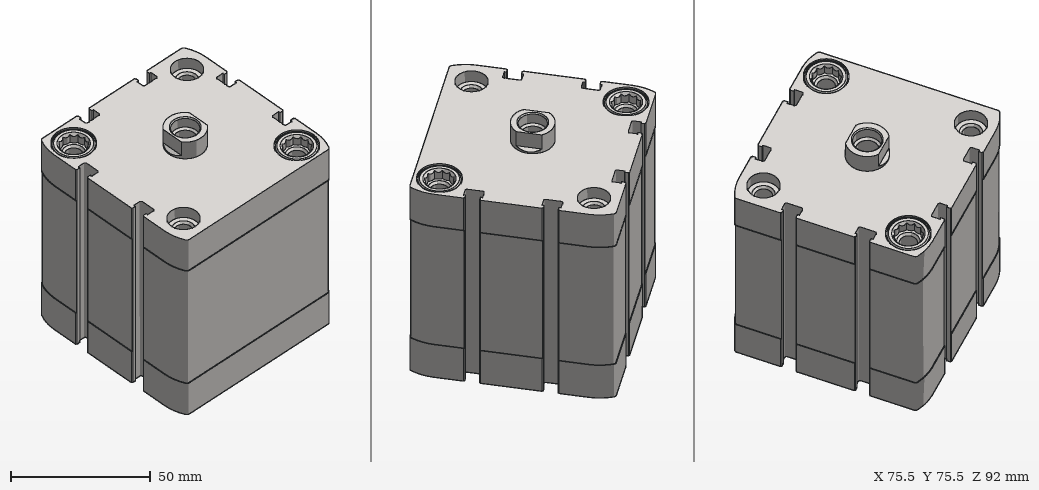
import cadquery as cq
import math

housing_width = 75.5
housing_height = 84.0
cap_height = 15.0
barrel_inset = 0.3
corner_arc_radius = 20.0
corner_blend_radius = 1.4

hole_offset = 28.2

slot_offset = 14.35
slot_mouth_width = 5.4
slot_inner_width = 7.0
slot_lip_depth = 1.75
slot_depth = 5.2
slot_mouth_radius = 0.4
slot_floor_radius = 0.7

through_hole_diameter = 6.6
hole_chamfer_diameter = 8.4
counterbore_diameter = 12.0
counterbore_depth = 4.9

groove_outer_diameter = 16.4
groove_floor_diameter = 15.5
groove_inner_diameter = 14.35
groove_depth = 0.7
plug_recess = 0.3
socket_points = 12
socket_point_radius = 5.5
socket_crest_radius = 5.1
socket_lead_in_diameter = 12.0
socket_lead_in_depth = 1.2
socket_crest_width = 0.8
socket_depth = 4.6

rod_diameter = 16.0
rod_length = 31.0
rod_top = 92.0
flat_width = 13.0
flat_length = 6.4
flat_slope_drop = 0.9
thread_chamfer_diameter = 11.4
thread_chamfer_depth = 0.5
thread_diameter = 10.5
thread_relief_depth = 4.6
thread_step_height = 0.55
thread_core_diameter = 8.4
thread_core_depth = 20.2
drill_point_angle = 118.0


def cone_between(large_diameter, small_diameter, top_z, height):
    """Cone narrowing downwards from top_z, on the Z axis."""
    return cq.Workplane(
        cq.Solid.makeCone(
            small_diameter / 2, large_diameter / 2, height, pnt=cq.Vector(0, 0, top_z - height)
        )
    )


def cylinder_below(diameter, top_z, depth):
    """Cylinder hanging down from top_z, on the Z axis."""
    return cq.Workplane("XY").workplane(offset=top_z - depth).circle(diameter / 2).extrude(depth)


def housing_section(base_z, height, inset):
    """Square prism, inset all round, whose corners are eased by shallow arcs towards the Y sides."""
    half = housing_width / 2 - inset
    arc_radius = corner_arc_radius - inset
    run = half - hole_offset
    arc_center_y = half - arc_radius
    arc_mid_x = hole_offset + run / 2
    arc_mid_y = arc_center_y + math.sqrt(arc_radius**2 - (run / 2) ** 2)
    arc_end_y = arc_center_y + math.sqrt(arc_radius**2 - run**2)
    return (
        cq.Workplane("XY")
        .workplane(offset=base_z)
        .moveTo(-hole_offset, -half)
        .lineTo(hole_offset, -half)
        .threePointArc((arc_mid_x, -arc_mid_y), (half, -arc_end_y))
        .lineTo(half, arc_end_y)
        .threePointArc((arc_mid_x, arc_mid_y), (hole_offset, half))
        .lineTo(-hole_offset, half)
        .threePointArc((-arc_mid_x, arc_mid_y), (-half, arc_end_y))
        .lineTo(-half, -arc_end_y)
        .threePointArc((-arc_mid_x, -arc_mid_y), (-hole_offset, -half))
        .close()
        .extrude(height)
        .edges("|Z and (<X or >X)")
        .fillet(corner_blend_radius - inset)
    )


def t_slot(side_angle, offset):
    """T-slot cutter for the side whose outward normal is at side_angle; offset runs along that side."""
    half = housing_width / 2
    floor_x = half - slot_depth
    lip_x = half - slot_lip_depth
    inner = (
        cq.Workplane("XY")
        .center((floor_x + lip_x) / 2, offset)
        .rect(lip_x - floor_x, slot_inner_width)
        .extrude(housing_height)
        .edges("|Z and <X")
        .fillet(slot_floor_radius)
    )
    mouth_half = slot_mouth_width / 2
    mouth_edge_x = half - slot_mouth_radius
    flared_half = mouth_half + slot_mouth_radius
    mouth = (
        cq.Workplane("XY")
        .moveTo(lip_x, offset - mouth_half)
        .lineTo(mouth_edge_x, offset - mouth_half)
        .radiusArc((half, offset - flared_half), -slot_mouth_radius)
        .lineTo(half, offset + flared_half)
        .radiusArc((mouth_edge_x, offset + mouth_half), -slot_mouth_radius)
        .lineTo(lip_x, offset + mouth_half)
        .close()
        .extrude(housing_height)
    )
    return inner.union(mouth).rotate((0, 0, 0), (0, 0, 1), side_angle)


def through_hole(floor_z):
    """Through hole with a 45 degree entry chamfer at floor_z."""
    chamfer = (hole_chamfer_diameter - through_hole_diameter) / 2
    bore = cylinder_below(through_hole_diameter, floor_z, floor_z)
    return bore.union(cone_between(hole_chamfer_diameter, through_hole_diameter, floor_z, chamfer))


def counterbored_hole():
    """Cutter for a plain corner hole, on the Z axis."""
    bore = cylinder_below(counterbore_diameter, housing_height, counterbore_depth)
    return bore.union(through_hole(housing_height - counterbore_depth))


def socket_outline():
    """Points of the twelve-point socket: sharp flutes between flat crests."""
    half_crest_angle = math.asin(socket_crest_width / 2 / socket_crest_radius)
    pitch = 2 * math.pi / socket_points
    corners = []
    for i in range(socket_points):
        flute = i * pitch
        crest = flute + pitch / 2
        corners.append((socket_point_radius, flute))
        corners.append((socket_crest_radius, crest - half_crest_angle))
        corners.append((socket_crest_radius, crest + half_crest_angle))
    return [(radius * math.cos(angle), radius * math.sin(angle)) for radius, angle in corners]


def plug_hole():
    """Cutter for a corner hole closed by a plug: ring groove, socket and through hole, on the Z axis."""
    plug_top = housing_height - plug_recess
    floor_z = housing_height - socket_depth
    groove = (
        cq.Workplane("XZ")
        .moveTo(0, housing_height)
        .lineTo(groove_outer_diameter / 2, housing_height)
        .lineTo(groove_outer_diameter / 2, housing_height - groove_depth)
        .lineTo(groove_floor_diameter / 2, housing_height - groove_depth)
        .lineTo(groove_inner_diameter / 2, plug_top)
        .lineTo(0, plug_top)
        .close()
        .revolve(360, (0, 0, 0), (0, 1, 0))
    )
    socket = (
        cq.Workplane("XY").workplane(offset=floor_z).polyline(socket_outline()).close()
        .extrude(plug_top - floor_z)
    )
    lead_in = cone_between(
        socket_lead_in_diameter, 2 * socket_crest_radius, plug_top, socket_lead_in_depth
    )
    return groove.union(socket).union(lead_in).union(through_hole(floor_z))


def rod_blank():
    """Plain round rod; also the hole it fills in the housing."""
    return cylinder_below(rod_diameter, rod_top, rod_length)


def make_housing():
    """Caps and barrel in one piece, slotted and drilled, with the rod's hole in the top."""
    top_cap_base = housing_height - cap_height
    housing = housing_section(0, cap_height, 0)
    housing = housing.union(housing_section(cap_height, top_cap_base - cap_height, barrel_inset))
    housing = housing.union(housing_section(top_cap_base, cap_height, 0))
    for side_angle in (90, 180, 270):
        for offset in (-slot_offset, slot_offset):
            housing = housing.cut(t_slot(side_angle, offset))
    for sign in (-1, 1):
        housing = housing.cut(plug_hole().translate((sign * hole_offset, sign * hole_offset, 0)))
        housing = housing.cut(counterbored_hole().translate((sign * hole_offset, -sign * hole_offset, 0)))
    return housing.cut(rod_blank())


def wrench_flat(side):
    """Cutter for one flat on the +Y (side 1) or -Y (side -1) of the rod, its lower end sloping outwards."""
    flat_y = flat_width / 2
    edge_y = rod_diameter / 2
    flat_end = rod_top - flat_length
    return (
        cq.Workplane("YZ")
        .polyline(
            [
                (side * flat_y, rod_top),
                (side * flat_y, flat_end),
                (side * edge_y, flat_end - flat_slope_drop),
                (side * edge_y, rod_top),
            ]
        )
        .close()
        .extrude(rod_diameter / 2, both=True)
    )


def thread_hole():
    """Cutter for the female thread: chamfer, relief, core and drill point."""
    relief_end = rod_top - thread_relief_depth
    core_end = rod_top - thread_core_depth
    point_height = thread_core_diameter / 2 / math.tan(math.radians(drill_point_angle / 2))
    hole = cylinder_below(thread_diameter, rod_top, thread_relief_depth)
    hole = hole.union(
        cone_between(thread_chamfer_diameter, thread_diameter, rod_top, thread_chamfer_depth)
    )
    hole = hole.union(cone_between(thread_diameter, thread_core_diameter, relief_end, thread_step_height))
    hole = hole.union(cylinder_below(thread_core_diameter, rod_top, thread_core_depth))
    return hole.union(cone_between(thread_core_diameter, 0, core_end, point_height))


def make_piston_rod():
    """Rod with its thread hole and two wrench flats."""
    rod = rod_blank().cut(thread_hole())
    for side in (-1, 1):
        rod = rod.cut(wrench_flat(side))
    return rod


housing = make_housing()
piston_rod = make_piston_rod()

result = cq.Compound.makeCompound([housing.solids().val(), piston_rod.solids().val()])